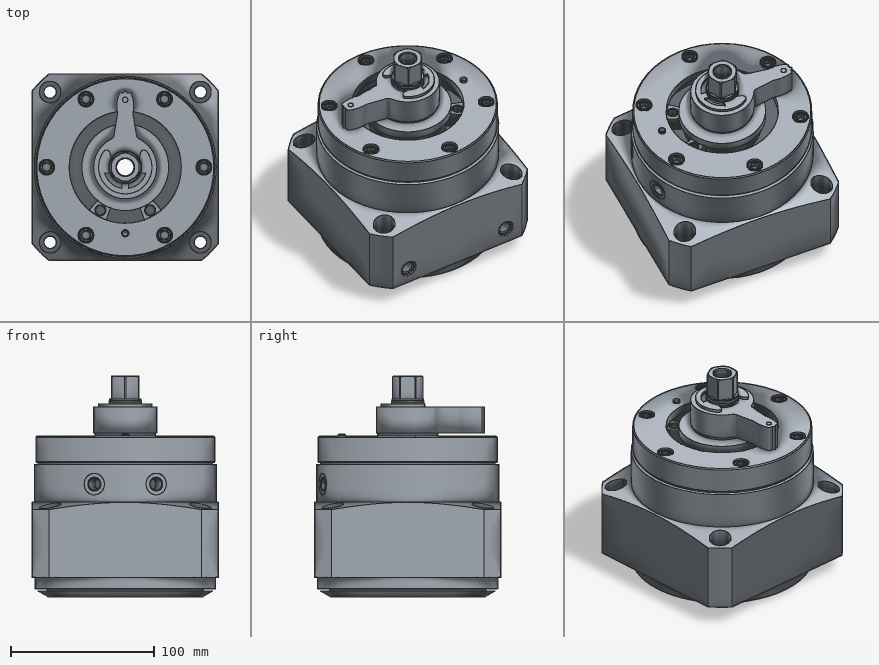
import cadquery as cq
import math

square_width = 130.0
corner_diameter = 168.0
square_base_z = 13.75
cone_edge_z = 61.0
cone_angle = 15.0

body_diameter = 127.0
body_top_z = 92.3
ring_diameter = 125.0
ring_base_z = 94.0
ring_top_z = 112.25
ring_top_chamfer = 0.8
ring_base_chamfer = 0.4
neck_diameter = 122.0

spigot_diameter = 126.0
spigot_base_z = 5.6
spigot_chamfer = 0.5
base_groove_diameter = 109.0
base_plate_top_z = 4.4
base_plate_diameter = 122.0
base_cone_diameter = 109.0
base_cone_z = 0.7
base_face_diameter = 107.6

opening_diameter = 78.2
opening_depth = 5.9
opening_base_z = ring_top_z - opening_depth
cavity_diameter = 89.4
cavity_floor_z = 95.0

stop_angles = (240.0, 300.0)
stop_half_angle = 10.0
stop_screw_radius = 34.7
stop_screw_diameter = 6.65
stop_screw_mouth = 7.7
stop_screw_depth = 8.0

fixing_offset = 52.4
fixing_diameter = 8.5
fixing_counterbore = 15.0
fixing_seat_z = 45.0

cover_screw_count = 6
cover_screw_circle = 109.6
cover_bore_diameter = 11.0
cover_head_diameter = 10.0
cover_head_face = 8.57
cover_head_drop = 0.7
cover_socket_mouth = 6.65
cover_socket_across_flats = 5.6
cover_socket_depth = 4.0
cover_bore_depth = 5.0

set_screw_y = -46.0
set_screw_diameter = 5.0
set_screw_height = 1.55
set_screw_chamfer = 0.6
set_screw_socket = 3.7
set_screw_socket_depth = 4.0

air_port_angles = (-110.0, -70.0)
air_port_z = 78.8
air_port_spot = 15.0
air_port_mouth = 9.7
air_port_diameter = 8.57
air_port_depth = 13.5

side_port_y = 40.0
side_port_z = 26.0
side_port_counterbore = 12.0
side_port_counterbore_depth = 1.5
side_port_mouth = 10.0
side_port_diameter = 8.38
side_port_depth = 15.0
drill_point_angle = 118.0

bore_diameter = 12.0
bore_mouth = 13.0
bore_mouth_depth = 0.9
hub_diameter = 54.0
disc_diameter = 60.5
collar_diameter = 42.0
journal_diameter = 23.0
clip_groove_diameter = 20.0
shoulder_top_z = 135.9
neck_base_z = 137.1
shaft_neck_diameter = 22.2
hex_base_z = 138.0
shaft_top_z = 154.0
hex_across_flats = 19.0
hex_corner_diameter = 21.5
hex_top_diameter = 19.6
hex_chamfer_angle = 30.0

lever_base_z = 114.4
lever_top_z = 132.7
lever_hub_diameter = 44.0
lever_root_fillet = 4.0
lever_waist_fillet = 3.0
lever_tip_fillet = 1.0
lever_root = (8.15, 20.0)
lever_waist = (5.4, 37.2)
lever_bulge = (5.9, 43.0)
lever_tip = (4.0, 51.9)
lever_point_half_width = 1.2
lever_point_y = 53.4
lever_mark_y = 47.0
lever_mark_diameter = 3.7
lever_mark_depth = 0.3

clip_top_z = 134.7
clip_diameter = 37.2
clip_window_diameter = 29.8
clip_window_top_y = -3.9
clip_prong_width = 4.7
clip_mouth_inner = (9.9, 7.0)
clip_mouth_outer = (13.7, 20.5)
clip_lobe_fillet = 2.4


def disc(diameter, base_z, top_z, x=0.0, y=0.0):
    """Upright cylinder between two heights."""
    return cq.Workplane("XY", origin=(x, y, base_z)).circle(diameter / 2).extrude(top_z - base_z)


def hex_prism(across_flats, base_z, top_z):
    """Upright hexagonal prism with two flats facing +X and -X."""
    across_corners = across_flats / math.cos(math.radians(30))
    prism = cq.Workplane("XY", origin=(0, 0, base_z)).polygon(6, across_corners).extrude(top_z - base_z)
    return prism.rotate((0, 0, 0), (0, 0, 1), 30)


def turned(points):
    """Solid of revolution about Z from (radius, height) points."""
    return cq.Workplane("XZ").polyline(points).close().revolve(360, (0, 0, 0), (0, 1, 0))


def side_turned(points, origin, direction):
    """Solid of revolution about an axis; points are (radius, distance along the axis)."""
    profile = cq.Workplane("XZ").polyline(points).close().revolve(360, (0, 0, 0), (0, 1, 0))
    plane = cq.Plane(origin=origin, xDir=(0, 0, 1), normal=direction)
    return cq.Workplane(profile.val().moved(cq.Location(plane)))


def ring_of(count, radius):
    """Evenly spaced (x, y) places on a circle, starting on +X."""
    angles = [2 * math.pi * i / count for i in range(count)]
    return [(radius * math.cos(a), radius * math.sin(a)) for a in angles]


def square_block():
    """Square block with turned corners and a conical shoulder."""
    corner_r = corner_diameter / 2
    apex_z = cone_edge_z + corner_r * math.tan(math.radians(cone_angle))
    turned_limit = turned([
        (0, square_base_z),
        (corner_r, square_base_z),
        (corner_r, cone_edge_z),
        (0, apex_z),
    ])
    height = apex_z - square_base_z
    base = cq.Workplane("XY", origin=(0, 0, square_base_z))
    square = base.rect(square_width, square_width).extrude(height)
    return square.intersect(turned_limit)


def round_body():
    """Turned core of the housing, from the base plate up to the cover ring."""
    plate_r = base_plate_diameter / 2
    groove_r = base_groove_diameter / 2
    spigot_r = spigot_diameter / 2
    body_r = body_diameter / 2
    neck_r = neck_diameter / 2
    ring_r = ring_diameter / 2
    return turned([
        (0, 0),
        (base_face_diameter / 2, 0),
        (base_cone_diameter / 2, base_cone_z),
        (plate_r, base_plate_top_z),
        (groove_r, base_plate_top_z),
        (groove_r, spigot_base_z),
        (spigot_r - spigot_chamfer, spigot_base_z),
        (spigot_r, spigot_base_z + spigot_chamfer),
        (spigot_r, square_base_z),
        (body_r, square_base_z),
        (body_r, body_top_z),
        (neck_r, body_top_z),
        (neck_r, ring_base_z),
        (ring_r - ring_base_chamfer, ring_base_z),
        (ring_r, ring_base_z + ring_base_chamfer),
        (ring_r, ring_top_z - ring_top_chamfer),
        (ring_r - ring_top_chamfer, ring_top_z),
        (0, ring_top_z),
    ])


def cavity():
    """Undercut cavity, leaving the stop blocks standing on its floor."""
    space = disc(cavity_diameter, cavity_floor_z, opening_base_z)
    for angle in stop_angles:
        space = space.cut(stop_block(angle))
    return space.union(disc(opening_diameter, opening_base_z, ring_top_z))


def stop_block(angle):
    """Wedge between the shaft hub and the cavity wall, with a threaded hole."""
    reach = cavity_diameter
    sides = [math.radians(angle + s * stop_half_angle) for s in (-1, 1)]
    corners = [(reach * math.cos(a), reach * math.sin(a)) for a in sides]
    height = opening_base_z - cavity_floor_z
    floor = cq.Workplane("XY", origin=(0, 0, cavity_floor_z))
    wedge = floor.polyline([(0, 0)] + corners).close().extrude(height)
    wedge = wedge.cut(disc(hub_diameter, cavity_floor_z, opening_base_z))
    hole_r = stop_screw_diameter / 2
    mouth_r = stop_screw_mouth / 2
    hole = turned([
        (0, opening_base_z - stop_screw_depth),
        (hole_r, opening_base_z - stop_screw_depth),
        (hole_r, opening_base_z - (mouth_r - hole_r)),
        (mouth_r, opening_base_z),
        (0, opening_base_z),
    ])
    a = math.radians(angle)
    return wedge.cut(hole.translate((stop_screw_radius * math.cos(a), stop_screw_radius * math.sin(a), 0)))


def fixing_hole(x, y):
    """Through hole in a corner of the square block, counterbored from above."""
    through = disc(fixing_diameter, square_base_z, shaft_top_z, x, y)
    return through.union(disc(fixing_counterbore, fixing_seat_z, ring_base_z, x, y))


def cover_screw_cut():
    """Clearance around a sunk screw head, and its socket."""
    bore_base_z = ring_top_z - cover_bore_depth
    head_top_z = ring_top_z - cover_head_drop
    head_r = cover_head_diameter / 2
    face_r = cover_head_face / 2
    head = turned([
        (0, bore_base_z),
        (head_r, bore_base_z),
        (head_r, head_top_z - (head_r - face_r)),
        (face_r, head_top_z),
        (0, head_top_z),
    ])
    mouth_r = cover_socket_mouth / 2
    countersink = turned([(0, head_top_z - mouth_r), (mouth_r, head_top_z), (0, head_top_z)])
    socket = hex_prism(cover_socket_across_flats, head_top_z - cover_socket_depth, head_top_z)
    bore = disc(cover_bore_diameter, bore_base_z, ring_top_z)
    return bore.cut(head).union(socket.union(countersink))


def set_screw():
    """Short chamfered stud, one with the ring, and the conical socket to cut from it."""
    top_z = ring_top_z + set_screw_height
    stud_r = set_screw_diameter / 2
    socket = turned([(0, top_z - set_screw_socket_depth), (set_screw_socket / 2, top_z), (0, top_z)])
    stud = turned([
        (0, ring_top_z),
        (stud_r, ring_top_z),
        (stud_r, top_z - set_screw_chamfer),
        (set_screw_socket / 2, top_z),
        (0, top_z),
    ])
    place = (0, set_screw_y, 0)
    return stud.translate(place), socket.translate(place)


def air_port(angle):
    """Radial port with a flat spot face and a chamfered mouth."""
    a = math.radians(angle)
    outward = (math.cos(a), math.sin(a), 0)
    body_r = body_diameter / 2
    spot_r = air_port_spot / 2
    face_r = math.sqrt(body_r ** 2 - spot_r ** 2)
    mouth_r = air_port_mouth / 2
    hole_r = air_port_diameter / 2
    tool = [
        (0, body_r - air_port_depth),
        (hole_r, body_r - air_port_depth),
        (hole_r, face_r - (mouth_r - hole_r)),
        (mouth_r, face_r),
        (spot_r, face_r),
        (spot_r, body_r),
        (0, body_r),
    ]
    return side_turned(tool, (0, 0, air_port_z), outward)


def side_port(y):
    """Counterbored, countersunk drill hole entering from the -X side."""
    hole_r = side_port_diameter / 2
    mouth_r = side_port_mouth / 2
    bore_r = side_port_counterbore / 2
    seat = -side_port_counterbore_depth
    point = hole_r / math.tan(math.radians(drill_point_angle / 2))
    tool = [
        (0, -side_port_depth - point),
        (hole_r, -side_port_depth),
        (hole_r, seat - (mouth_r - hole_r)),
        (mouth_r, seat),
        (bore_r, seat),
        (bore_r, 0),
        (0, 0),
    ]
    return side_turned(tool, (-square_width / 2, y, side_port_z), (-1, 0, 0))


def make_housing():
    body = square_block().union(round_body()).cut(cavity())
    body = body.cut(disc(bore_diameter, 0, cavity_floor_z))
    for x in (-fixing_offset, fixing_offset):
        for y in (-fixing_offset, fixing_offset):
            body = body.cut(fixing_hole(x, y))
    for x, y in ring_of(cover_screw_count, cover_screw_circle / 2):
        body = body.cut(cover_screw_cut().translate((x, y, 0)))
    for angle in air_port_angles:
        body = body.cut(air_port(angle))
    for y in (-side_port_y, side_port_y):
        body = body.cut(side_port(y))
    stud, socket = set_screw()
    return body.union(stud).cut(socket)


def hex_head():
    """Hexagon with turned corners and a chamfered end."""
    corner_r = hex_corner_diameter / 2
    top_r = hex_top_diameter / 2
    chamfer_height = (corner_r - top_r) * math.tan(math.radians(hex_chamfer_angle))
    limit = turned([
        (0, hex_base_z),
        (corner_r, hex_base_z),
        (corner_r, shaft_top_z - chamfer_height),
        (top_r, shaft_top_z),
        (0, shaft_top_z),
    ])
    return hex_prism(hex_across_flats, hex_base_z, shaft_top_z).intersect(limit)


def make_shaft():
    """Hub, disc, collar and grooved journal below a hexagonal head, bored through."""
    groove_r = clip_groove_diameter / 2
    journal_r = journal_diameter / 2
    neck_r = shaft_neck_diameter / 2
    stem = turned([
        (0, cavity_floor_z),
        (hub_diameter / 2, cavity_floor_z),
        (hub_diameter / 2, opening_base_z),
        (disc_diameter / 2, opening_base_z),
        (disc_diameter / 2, ring_top_z),
        (collar_diameter / 2, ring_top_z),
        (collar_diameter / 2, lever_base_z),
        (journal_r, lever_base_z),
        (journal_r, lever_top_z),
        (groove_r, lever_top_z),
        (groove_r, clip_top_z),
        (journal_r, clip_top_z),
        (journal_r, shoulder_top_z),
        (neck_r, neck_base_z),
        (neck_r, hex_base_z),
        (0, hex_base_z),
    ])
    bore_r = bore_diameter / 2
    mouth_r = bore_mouth / 2
    bore = turned([
        (0, cavity_floor_z),
        (bore_r, cavity_floor_z),
        (bore_r, shaft_top_z - bore_mouth_depth),
        (mouth_r, shaft_top_z),
        (0, shaft_top_z),
    ])
    return stem.union(hex_head()).cut(bore)


def mirrored(point):
    """The same point on the other side of the YZ plane."""
    return (-point[0], point[1])


def make_lever():
    """Round hub with a tapered arm toward +Y, ending in a small pointer."""
    height = lever_top_z - lever_base_z
    arm = (
        cq.Workplane("XY", origin=(0, 0, lever_base_z))
        .moveTo(0, 0)
        .lineTo(*lever_root)
        .lineTo(*lever_waist)
        .threePointArc(lever_bulge, lever_tip)
        .lineTo(lever_point_half_width, lever_tip[1])
        .lineTo(0, lever_point_y)
        .lineTo(-lever_point_half_width, lever_tip[1])
        .lineTo(*mirrored(lever_tip))
        .threePointArc(mirrored(lever_bulge), mirrored(lever_waist))
        .lineTo(*mirrored(lever_root))
        .close()
        .extrude(height)
    )
    lever = disc(lever_hub_diameter, lever_base_z, lever_top_z).union(arm)
    corner_fillets = (
        (lever_root, lever_root_fillet),
        (lever_waist, lever_waist_fillet),
        (lever_tip, lever_tip_fillet),
    )
    for corner, radius in corner_fillets:
        for x, y in (corner, mirrored(corner)):
            selector = cq.selectors.NearestToPointSelector((x, y, lever_base_z + height / 2))
            lever = lever.edges("|Z").edges(selector).fillet(radius)
    lever = lever.cut(disc(journal_diameter, lever_base_z, lever_top_z))
    return lever.cut(disc(lever_mark_diameter, lever_top_z - lever_mark_depth, lever_top_z, 0, lever_mark_y))


def make_clip():
    """E-shaped retaining clip, open toward +Y, with three prongs in the shaft groove."""
    thickness = clip_top_z - lever_top_z
    base = cq.Workplane("XY", origin=(0, 0, lever_top_z))
    plate = disc(clip_diameter, lever_top_z, clip_top_z)
    mouth = base.polyline([
        (0, 0),
        clip_mouth_inner,
        clip_mouth_outer,
        mirrored(clip_mouth_outer),
        mirrored(clip_mouth_inner),
    ]).close().extrude(thickness)
    plate = plate.cut(mouth)
    plate = plate.edges("|Z").edges(">Y").fillet(clip_lobe_fillet)

    reach = clip_window_diameter / 2
    windows = disc(clip_window_diameter, lever_top_z, clip_top_z)
    below = base.center(0, clip_window_top_y - reach / 2).rect(2 * reach, reach).extrude(thickness)
    prong = base.center(0, -reach / 2).rect(clip_prong_width, reach).extrude(thickness)
    windows = windows.intersect(below).cut(prong)
    return plate.cut(windows).cut(disc(clip_groove_diameter, lever_top_z, clip_top_z))


housing = make_housing()
shaft = make_shaft()
lever = make_lever()
clip = make_clip()

result = cq.Compound.makeCompound([housing.val(), shaft.val(), lever.val(), clip.val()])